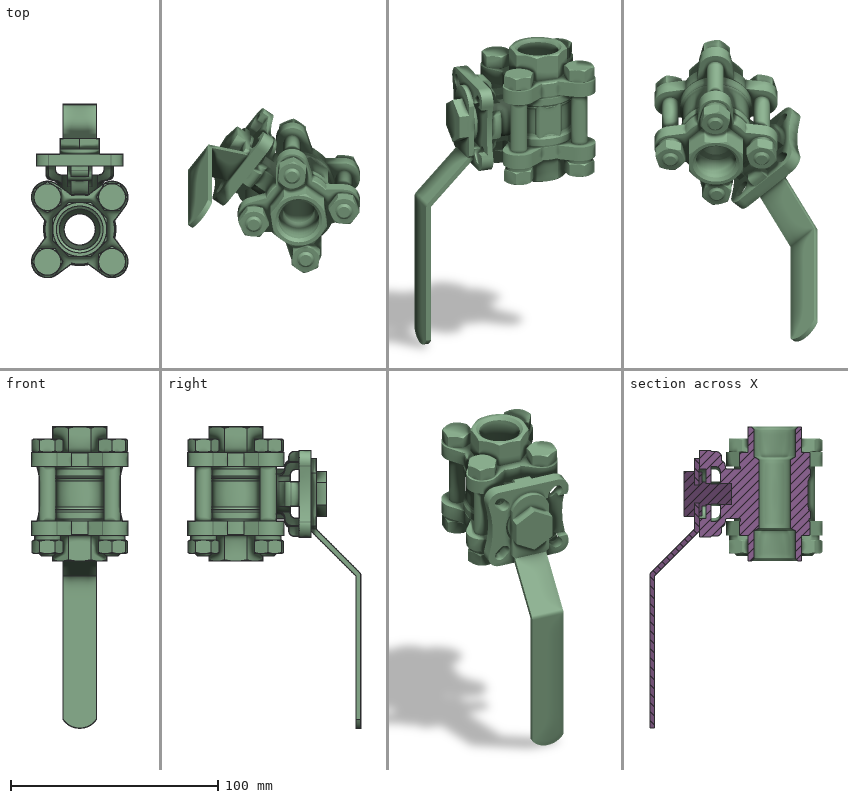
import cadquery as cq
import math


END_Z = 32.5
OCTAGON_FLATS = 26.0
OCTAGON_CHAMFER = 0.7
BORE_DIA = 15.0
SOCKET_DIA = 19.6
SOCKET_MOUTH_DIA = 22.5
SOCKET_CHAMFER = 1.5
SOCKET_DEPTH = 14.5
SOCKET_FLOOR_ANGLE = 30.0

FLANGE_OUTER_Z = 20.1
FLANGE_INNER_Z = 13.1
FLANGE_DISC_R = 17.2
FLANGE_DISC_CHAMFER = 0.5
FLANGE_WAIST_HALF = 4.1
EAR_R = 7.7
BOLT_OFFSET = 15.5

BOLT_DIA = 8.0
BOLT_TIP_Z = -30.0
BOLT_TIP_CHAMFER = 1.2
HEX_FLATS = 13.0
HEX_CHAMFER = 0.6
HEAD_HEIGHT = 6.4
WASHER_DIA = 12.5
WASHER_THICKNESS = 2.2
NUT_HEIGHT = 6.5

RING_R = 17.5
RING_OUTER_Z = 12.1
RING_INNER_Z = 8.7
JOINT_R = 16.7
BARREL_R = 16.3
BARREL_HALF_HEIGHT = 6.3
FLARE_R = 16.7
GROOVE_Z = 7.5
GROOVE_HALF_WIDTH = 0.1
GROOVE_DEPTH = 0.5
LABEL_X = -16.5
LABEL_HALF_WIDTH = 6.4
LABEL_CHAMFER = 1.2
LABEL_GROOVE_WIDTH = 0.6
LABEL_GROOVE_FLOOR_X = -14.0
LABEL_GROOVE_HALF_HEIGHT = 6.8

NECK_R = 10.5
YOKE_R = 16.3
YOKE_INNER_R = 13.1
YOKE_INNER_FILLET = 2.3
YOKE_FLOOR_Y = 26.3
YOKE_BEND_R = (YOKE_R - NECK_R) / 2
YOKE_BEND_Y = 23.7
ARM_WIDTH = 12.0
BLOCK_WIDTH = 8.5
BLOCK_Y = 23.5
STOP_Z = 20.5
STOP_Y = 25.5
STOP_FILLET = 2.9

PAD_BOTTOM_Y = 30.5
PAD_TOP_Y = 36.4
PAD_HALF = 21.0
PAD_CORNER_R = 5.8
PAD_CORNER_OVERRUN = 16.0
SLOT_DIA = 5.5
SLOT_INNER = 12.8
SLOT_OUTER = 14.8
RECESS_R = 11.8
RECESS_DEPTH = 3.2

LEVER_THICKNESS = 2.5
LEVER_HEAD_WIDTH = 19.0
LEVER_WIDTH = 16.3
LEVER_TOP_Z = 17.2
LEVER_ARC_Z = 10.0
SHOULDER_TOP_Z = -15.4
SHOULDER_BOTTOM_Z = -16.9
LEVER_BEND_Z = -17.0
LEVER_OUTER_Y = 60.4
LEVER_END_Z = -113.0
LEVER_END_SAGITTA = 4.4

STEM_DIA = 10.0
STEM_THREAD_DIA = 8.5
STEM_BOTTOM_Y = 21.0
STEM_HEX_FLATS = 12.0
STOP_DISC_R = 10.8
STOP_DISC_THICKNESS = 1.5
STEM_NUT_FLATS = 18.9
STEM_NUT_TOP_Y = 43.8

LEVER_TOP_Y = PAD_TOP_Y + LEVER_THICKNESS
RECESS_FLOOR_Y = PAD_TOP_Y - RECESS_DEPTH


def prism_z(sides, flats, bottom, height, turn=0.0):
    """Regular prism along Z, given across its flats; corners start on +X before the turn."""
    corners_dia = flats / math.cos(math.pi / sides)
    prism = cq.Workplane("XY", origin=(0, 0, bottom)).polygon(sides, corners_dia).extrude(height)
    return prism.rotate((0, 0, 0), (0, 0, 1), turn)


def rod_z(radius, bottom, top):
    return cq.Workplane("XY", origin=(0, 0, bottom)).circle(radius).extrude(top - bottom)


def rod_y(radius, bottom, top):
    return cq.Workplane("XZ", origin=(0, bottom, 0)).circle(radius).extrude(bottom - top)


def box_between(low, high):
    size = [b - a for a, b in zip(low, high)]
    return cq.Workplane("XY").box(*size, centered=False).translate(tuple(low))


def chamfered_hex(bottom, height, turn):
    """Bolt head or nut, with both rims of its corners turned off."""
    corner_r = HEX_FLATS / math.sqrt(3)
    corner_cut = corner_r - HEX_FLATS / 2
    rim = rod_z(corner_r, bottom, bottom + height).faces("<Z or >Z").chamfer(HEX_CHAMFER, corner_cut)
    return prism_z(6, HEX_FLATS, bottom, height, turn).intersect(rim)


def make_end():
    """Upper octagonal end, from the middle of the body to the top."""
    corner_r = OCTAGON_FLATS / 2 / math.cos(math.pi / 8)
    corner_cut = corner_r - OCTAGON_FLATS / 2
    envelope = rod_z(corner_r, 0, END_Z).faces(">Z").chamfer(OCTAGON_CHAMFER, corner_cut)
    return prism_z(8, OCTAGON_FLATS, 0, END_Z, 360 / 16).intersect(envelope)


def make_ear():
    """Ear for the bolt at (+, +), with flanks tangent from the disc to the ear's arc."""
    start = (FLANGE_WAIST_HALF, math.sqrt(FLANGE_DISC_R**2 - FLANGE_WAIST_HALF**2))
    reach_x = BOLT_OFFSET - start[0]
    reach_y = BOLT_OFFSET - start[1]
    reach = math.hypot(reach_x, reach_y)
    normal_angle = math.atan2(-reach_y, -reach_x) - math.acos(EAR_R / reach)
    tangent = (BOLT_OFFSET + EAR_R * math.cos(normal_angle), BOLT_OFFSET + EAR_R * math.sin(normal_angle))
    tip = BOLT_OFFSET + EAR_R * math.sqrt(0.5)
    return (
        cq.Workplane("XY", origin=(0, 0, FLANGE_INNER_Z))
        .lineTo(*start)
        .lineTo(*tangent)
        .threePointArc((tip, tip), tangent[::-1])
        .lineTo(*start[::-1])
        .close()
        .extrude(FLANGE_OUTER_Z - FLANGE_INNER_Z)
    )


def make_flange():
    """Upper flange: a turned disc with four ears."""
    flange = rod_z(FLANGE_DISC_R, FLANGE_INNER_Z, FLANGE_OUTER_Z).faces(">Z").chamfer(FLANGE_DISC_CHAMFER)
    ear = make_ear()
    for quarter in range(4):
        flange = flange.union(ear.rotate((0, 0, 0), (0, 0, 1), 90 * quarter))
    return flange


def make_bolt(hex_turn):
    """Bolt with its head, washer and nut, on the Z axis."""
    washer_z = -FLANGE_OUTER_Z - WASHER_THICKNESS
    shank = rod_z(BOLT_DIA / 2, BOLT_TIP_Z, FLANGE_OUTER_Z).faces("<Z").chamfer(BOLT_TIP_CHAMFER)
    head = chamfered_hex(FLANGE_OUTER_Z, HEAD_HEIGHT, hex_turn)
    washer = rod_z(WASHER_DIA / 2, washer_z, -FLANGE_OUTER_Z)
    nut = chamfered_hex(washer_z - NUT_HEIGHT, NUT_HEIGHT, hex_turn)
    return shank.union(head).union(washer).union(nut)


def make_barrel():
    """Centre body: a plain barrel that flares into a ring at each end, with a label flat on -X."""
    upper_half = [
        (BARREL_R, BARREL_HALF_HEIGHT),
        (FLARE_R, GROOVE_Z - GROOVE_HALF_WIDTH),
        (FLARE_R - GROOVE_DEPTH, GROOVE_Z),
        (FLARE_R, GROOVE_Z + GROOVE_HALF_WIDTH),
        (RING_R, RING_INNER_Z),
        (RING_R, RING_OUTER_Z),
        (JOINT_R, RING_OUTER_Z),
        (JOINT_R, FLANGE_INNER_Z),
        (0, FLANGE_INNER_Z),
    ]
    lower_half = [(r, -z) for r, z in reversed(upper_half)]
    barrel = cq.Workplane("XZ").polyline(lower_half + upper_half).close().revolve(360, (0, 0), (0, 1))
    label = box_between(
        (LABEL_X, -LABEL_HALF_WIDTH, -RING_INNER_Z),
        (0, LABEL_HALF_WIDTH, RING_INNER_Z),
    )
    barrel = barrel.union(label.edges("|Z and <X").chamfer(LABEL_CHAMFER))
    side_groove = box_between(
        (LABEL_X, LABEL_HALF_WIDTH, -LABEL_GROOVE_HALF_HEIGHT),
        (LABEL_GROOVE_FLOOR_X, LABEL_HALF_WIDTH + LABEL_GROOVE_WIDTH, LABEL_GROOVE_HALF_HEIGHT),
    )
    return barrel.cut(side_groove).cut(side_groove.mirror("XZ"))


def make_yoke():
    """Neck that widens into four arms under the pad, with stop blocks on the +Z and -Z arms."""
    bend_r = NECK_R + YOKE_BEND_R
    diagonal = YOKE_BEND_R * math.sqrt(0.5)
    cup = (
        cq.Workplane("XY")
        .lineTo(NECK_R, 0)
        .lineTo(NECK_R, YOKE_BEND_Y - YOKE_BEND_R)
        .threePointArc(
            (bend_r - diagonal, YOKE_BEND_Y - YOKE_BEND_R + diagonal),
            (bend_r, YOKE_BEND_Y),
        )
        .threePointArc(
            (bend_r + diagonal, YOKE_BEND_Y + YOKE_BEND_R - diagonal),
            (YOKE_R, YOKE_BEND_Y + YOKE_BEND_R),
        )
        .lineTo(YOKE_R, PAD_BOTTOM_Y)
        .lineTo(0, PAD_BOTTOM_Y)
        .close()
        .revolve(360, (0, 0), (0, 1))
    )
    hollow = rod_y(YOKE_INNER_R, YOKE_FLOOR_Y, PAD_BOTTOM_Y).faces("<Y").edges().fillet(YOKE_INNER_FILLET)
    half_arm = ARM_WIDTH / 2
    arms = box_between((-YOKE_R, 0, -half_arm), (YOKE_R, PAD_BOTTOM_Y, half_arm))
    arms = arms.union(arms.rotate((0, 0, 0), (0, 1, 0), 90))
    yoke = cup.intersect(arms.union(rod_y(NECK_R, 0, YOKE_FLOOR_Y)))

    half_block = BLOCK_WIDTH / 2
    stops = box_between((-half_block, STOP_Y, -STOP_Z), (half_block, PAD_BOTTOM_Y, STOP_Z))
    stops = stops.faces("<Y").edges("|X").fillet(STOP_FILLET)
    block = box_between((-half_block, 0, -RING_OUTER_Z), (half_block, BLOCK_Y, RING_OUTER_Z))
    return yoke.union(stops).cut(hollow).union(block)


def make_pad():
    """Square pad with straight Z sides, hollowed X sides, four diagonal slots and an open recess."""
    centre = PAD_HALF - PAD_CORNER_R
    overrun = math.radians(PAD_CORNER_OVERRUN)
    side_x = centre + PAD_CORNER_R * math.cos(overrun)
    side_z = centre - PAD_CORNER_R * math.sin(overrun)
    waist_x = side_x - side_z * math.tan(overrun / 2)
    corner = centre + PAD_CORNER_R * math.sqrt(0.5)
    pad = (
        cq.Workplane("XZ", origin=(0, PAD_BOTTOM_Y, 0))
        .moveTo(-centre, PAD_HALF)
        .lineTo(centre, PAD_HALF)
        .threePointArc((corner, corner), (side_x, side_z))
        .threePointArc((waist_x, 0), (side_x, -side_z))
        .threePointArc((corner, -corner), (centre, -PAD_HALF))
        .lineTo(-centre, -PAD_HALF)
        .threePointArc((-corner, -corner), (-side_x, -side_z))
        .threePointArc((-waist_x, 0), (-side_x, side_z))
        .threePointArc((-corner, corner), (-centre, PAD_HALF))
        .close()
        .extrude(PAD_BOTTOM_Y - PAD_TOP_Y)
    )
    slot_middle = (SLOT_INNER + SLOT_OUTER) / 2
    slot_length = (SLOT_OUTER - SLOT_INNER) * math.sqrt(2) + SLOT_DIA
    for x_side in (-1, 1):
        for z_side in (-1, 1):
            slot = (
                cq.Workplane("XZ", origin=(0, PAD_BOTTOM_Y, 0))
                .center(x_side * slot_middle, z_side * slot_middle)
                .slot2D(slot_length, SLOT_DIA, 45 * x_side * z_side)
                .extrude(PAD_BOTTOM_Y - PAD_TOP_Y)
            )
            pad = pad.cut(slot)
    channel = box_between((-PAD_HALF, RECESS_FLOOR_Y, -RECESS_R), (0, PAD_TOP_Y, RECESS_R))
    return pad.cut(channel).cut(rod_y(RECESS_R, RECESS_FLOOR_Y, PAD_TOP_Y))


def make_bore():
    """Through bore with a conical-bottomed socket at each end."""
    cone_depth = (SOCKET_DIA - BORE_DIA) / 2 * math.tan(math.radians(SOCKET_FLOOR_ANGLE))
    upper_half = [
        (BORE_DIA / 2, END_Z - SOCKET_DEPTH - cone_depth),
        (SOCKET_DIA / 2, END_Z - SOCKET_DEPTH),
        (SOCKET_DIA / 2, END_Z - SOCKET_CHAMFER),
        (SOCKET_MOUTH_DIA / 2, END_Z),
        (0, END_Z),
    ]
    lower_half = [(r, -z) for r, z in reversed(upper_half)]
    return cq.Workplane("XZ").polyline(lower_half + upper_half).close().revolve(360, (0, 0), (0, 1))


def make_valve():
    upper = make_end().union(make_flange())
    valve = make_barrel().union(upper).union(upper.mirror("XY"))
    for x_side in (-1, 1):
        for y_side in (-1, 1):
            hex_turn = 0 if x_side == y_side else 90
            bolt = make_bolt(hex_turn).translate((x_side * BOLT_OFFSET, y_side * BOLT_OFFSET, 0))
            valve = valve.union(bolt)
    valve = valve.union(make_yoke()).union(make_pad())
    stem_hole = rod_y(STEM_DIA / 2, STEM_BOTTOM_Y, PAD_TOP_Y)
    return valve.cut(make_bore()).cut(stem_hole)


def make_lever():
    """Bent strip: its side profile extruded in X, trimmed by its face outline."""
    mitre = LEVER_THICKNESS * math.tan(math.radians(45 / 2))
    inner_y = LEVER_OUTER_Y - LEVER_THICKNESS
    inner_bend_z = LEVER_BEND_Z - (LEVER_OUTER_Y - LEVER_TOP_Y) - mitre

    def lower_bend_point(degrees):
        angle = math.radians(degrees)
        return (
            inner_y + LEVER_THICKNESS * math.cos(angle),
            inner_bend_z + LEVER_THICKNESS * math.sin(angle),
        )

    strip = (
        cq.Workplane("YZ", origin=(-LEVER_HEAD_WIDTH / 2, 0, 0))
        .moveTo(PAD_TOP_Y, LEVER_TOP_Z)
        .lineTo(LEVER_TOP_Y, LEVER_TOP_Z)
        .lineTo(LEVER_TOP_Y, LEVER_BEND_Z)
        .lineTo(*lower_bend_point(45))
        .threePointArc(lower_bend_point(45 / 2), lower_bend_point(0))
        .lineTo(LEVER_OUTER_Y, LEVER_END_Z)
        .lineTo(inner_y, LEVER_END_Z)
        .lineTo(inner_y, inner_bend_z)
        .lineTo(PAD_TOP_Y, LEVER_BEND_Z - mitre)
        .close()
        .extrude(LEVER_HEAD_WIDTH)
    )
    head = LEVER_HEAD_WIDTH / 2
    grip = LEVER_WIDTH / 2
    end_arc_z = LEVER_END_Z + LEVER_END_SAGITTA
    outline = (
        cq.Workplane("XZ", origin=(0, PAD_TOP_Y, 0))
        .moveTo(-head, LEVER_ARC_Z)
        .threePointArc((0, LEVER_TOP_Z), (head, LEVER_ARC_Z))
        .lineTo(head, SHOULDER_TOP_Z)
        .lineTo(grip, SHOULDER_BOTTOM_Z)
        .lineTo(grip, end_arc_z)
        .threePointArc((0, LEVER_END_Z), (-grip, end_arc_z))
        .lineTo(-grip, SHOULDER_BOTTOM_Z)
        .lineTo(-head, SHOULDER_TOP_Z)
        .close()
        .extrude(PAD_TOP_Y - LEVER_OUTER_Y)
    )
    stem_hole = rod_y(STEM_THREAD_DIA / 2, PAD_TOP_Y, LEVER_TOP_Y)
    return strip.intersect(outline).cut(stem_hole)


def prism_y(flats, bottom, top, turn):
    """Hexagonal prism along Y; corners start on +X before the turn."""
    corners_dia = flats / math.cos(math.pi / 6)
    prism = cq.Workplane("XZ", origin=(0, bottom, 0)).polygon(6, corners_dia).extrude(bottom - top)
    return prism.rotate((0, 0, 0), (0, 1, 0), turn)


def make_stem():
    """Stem with the gland hexagon and stop disc in the pad's recess, and the nut above the lever."""
    disc_bottom_y = PAD_TOP_Y - STOP_DISC_THICKNESS
    stem = rod_y(STEM_DIA / 2, STEM_BOTTOM_Y, RECESS_FLOOR_Y)
    gland = prism_y(STEM_HEX_FLATS, RECESS_FLOOR_Y, disc_bottom_y, 0)
    stop_disc = rod_y(STOP_DISC_R, disc_bottom_y, PAD_TOP_Y)
    thread = rod_y(STEM_THREAD_DIA / 2, PAD_TOP_Y, LEVER_TOP_Y)
    nut = prism_y(STEM_NUT_FLATS, LEVER_TOP_Y, STEM_NUT_TOP_Y, 90)
    return stem.union(gland).union(stop_disc).union(thread).union(nut)


valve = make_valve()
lever = make_lever()
stem = make_stem()

result = cq.Compound.makeCompound([valve.val(), lever.val(), stem.val()])